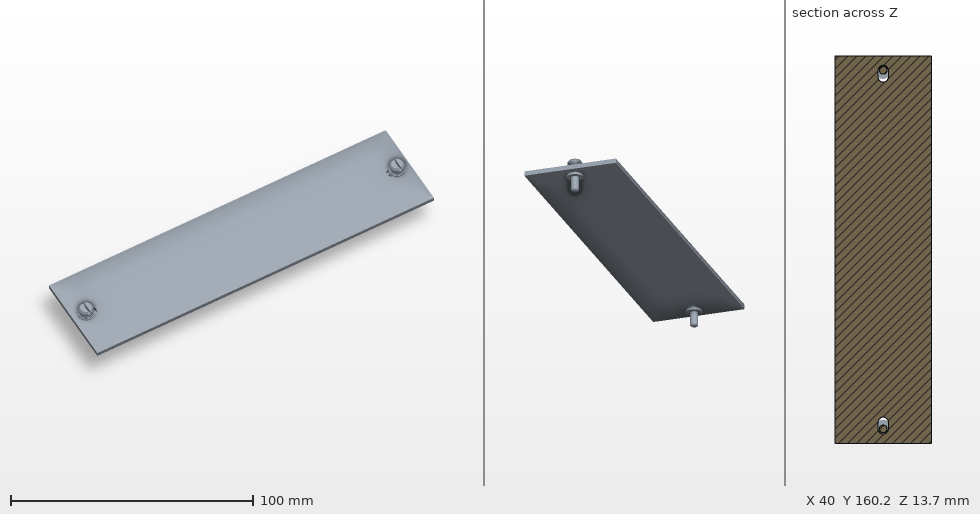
import cadquery as cq

PLATE_WIDTH = 40.0
PLATE_LENGTH = 160.2
PLATE_THICKNESS = 2.0

SCREW_EDGE_DISTANCE = 6.1
SCREW_Y = PLATE_LENGTH / 2 - SCREW_EDGE_DISTANCE
SHANK_DIAMETER = 3.4
SHANK_FREE_LENGTH = 6.1
TIP_CHAMFER = 0.5

FLANGE_DIAMETER = 7.2
FLANGE_THICKNESS = 0.5
COLLAR_DIAMETER = 6.4
COLLAR_HEIGHT = 0.75

FLAT_WASHER_DIAMETER = 6.4
FLAT_WASHER_THICKNESS = 0.5
LOCK_WASHER_DIAMETER = 5.8
LOCK_WASHER_THICKNESS = 1.35
LOCK_WASHER_GAP = 0.8
LOCK_WASHER_GAP_SLANT = 1.0

HEAD_DIAMETER = 6.2
HEAD_HEIGHT = 2.0
HEAD_CHAMFER_WIDTH = 0.6
HEAD_CHAMFER_HEIGHT = 1.0
DRIVER_SLOT_WIDTH = 1.0
DRIVER_SLOT_DEPTH = 1.5

HOLE_WIDTH = 4.0
HOLE_REACH = 4.8

FLANGE_TOP = PLATE_THICKNESS + FLANGE_THICKNESS
FLAT_WASHER_TOP = FLANGE_TOP + FLAT_WASHER_THICKNESS
HEAD_UNDERSIDE = FLAT_WASHER_TOP + LOCK_WASHER_THICKNESS
HEAD_TOP = HEAD_UNDERSIDE + HEAD_HEIGHT
COLLAR_BOTTOM = -COLLAR_HEIGHT
LOWER_FLANGE_BOTTOM = COLLAR_BOTTOM - FLANGE_THICKNESS
SCREW_TIP = LOWER_FLANGE_BOTTOM - SHANK_FREE_LENGTH


def cylinder(diameter, bottom, top):
    """Upright cylinder on the Z axis between two heights."""
    return cq.Workplane("XY", origin=(0, 0, bottom)).circle(diameter / 2).extrude(top - bottom)


def make_plate():
    plate = cq.Workplane("XY").box(
        PLATE_WIDTH, PLATE_LENGTH, PLATE_THICKNESS, centered=(True, True, False)
    )
    hole_shift = HOLE_REACH - HOLE_WIDTH / 2
    hole_y = SCREW_Y - hole_shift / 2
    holes = (
        cq.Workplane("XY")
        .pushPoints([(0, hole_y), (0, -hole_y)])
        .slot2D(hole_shift + HOLE_WIDTH, HOLE_WIDTH, 90)
        .extrude(PLATE_THICKNESS)
    )
    return plate.cut(holes)


def make_head():
    head_radius = HEAD_DIAMETER / 2
    head = (
        cq.Workplane("XZ")
        .moveTo(0, HEAD_UNDERSIDE)
        .lineTo(head_radius, HEAD_UNDERSIDE)
        .lineTo(head_radius, HEAD_TOP - HEAD_CHAMFER_HEIGHT)
        .lineTo(head_radius - HEAD_CHAMFER_WIDTH, HEAD_TOP)
        .lineTo(0, HEAD_TOP)
        .close()
        .revolve(360, (0, 0, 0), (0, 1, 0))
    )
    driver_slot = cq.Workplane("XY", origin=(0, 0, HEAD_TOP - DRIVER_SLOT_DEPTH)).box(
        HEAD_DIAMETER, DRIVER_SLOT_WIDTH, DRIVER_SLOT_DEPTH, centered=(True, True, False)
    )
    return head.cut(driver_slot)


def make_lock_washer():
    """Disc with a slanted gap facing -Y; the shank fills its bore."""
    half_gap = LOCK_WASHER_GAP / 2
    half_slant = LOCK_WASHER_GAP_SLANT / 2
    gap = (
        cq.Workplane("XZ")
        .moveTo(-half_gap - half_slant, FLAT_WASHER_TOP)
        .lineTo(half_gap - half_slant, FLAT_WASHER_TOP)
        .lineTo(half_gap + half_slant, HEAD_UNDERSIDE)
        .lineTo(-half_gap + half_slant, HEAD_UNDERSIDE)
        .close()
        .extrude(LOCK_WASHER_DIAMETER)
    )
    return cylinder(LOCK_WASHER_DIAMETER, FLAT_WASHER_TOP, HEAD_UNDERSIDE).cut(gap)


def make_screw():
    """Screw with its washers, flanges and collar, centred on the Z axis."""
    shank = cylinder(SHANK_DIAMETER, SCREW_TIP, HEAD_UNDERSIDE).faces("<Z").chamfer(TIP_CHAMFER)
    return (
        make_head()
        .union(make_lock_washer())
        .union(cylinder(FLAT_WASHER_DIAMETER, FLANGE_TOP, FLAT_WASHER_TOP))
        .union(cylinder(FLANGE_DIAMETER, PLATE_THICKNESS, FLANGE_TOP))
        .union(cylinder(COLLAR_DIAMETER, COLLAR_BOTTOM, 0))
        .union(cylinder(FLANGE_DIAMETER, LOWER_FLANGE_BOTTOM, COLLAR_BOTTOM))
        .union(shank)
    )


result = make_plate()
for screw_y in (SCREW_Y, -SCREW_Y):
    result = result.union(make_screw().translate((0, screw_y, 0)))